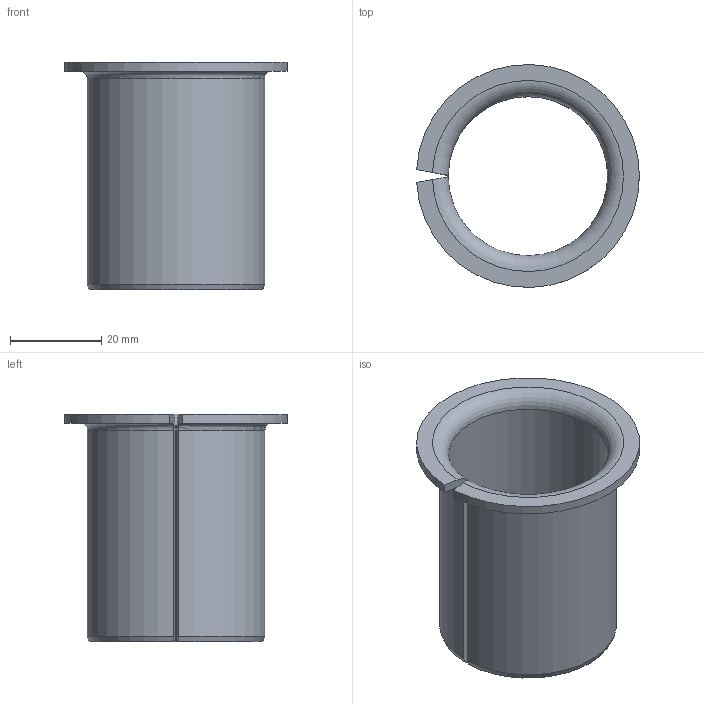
import cadquery as cq
import math

bore_diameter = 35.0
wall = 2.0
flange_diameter = 49.0
length = 50.0
outer_bend_radius = 1.5
chamfer_length = 1.2
chamfer_angle = 20.0
slit_width_at_bore = 0.35
slit_half_angle = 10.0
cut_clearance = 2.0

bore_radius = bore_diameter / 2
tube_radius = bore_radius + wall
flange_radius = flange_diameter / 2
inner_bend_radius = outer_bend_radius + wall
bend_center_radius = tube_radius + outer_bend_radius
bend_center_z = length - inner_bend_radius
flange_bottom_z = length - wall
chamfer_depth = chamfer_length * math.tan(math.radians(chamfer_angle))


def bend_midpoint(bend_radius):
    """Point halfway round a quarter bend, as (radius, Z)."""
    offset = bend_radius * math.sin(math.radians(45))
    return (bend_center_radius - offset, bend_center_z + offset)


def flanged_tube():
    """Revolved wall section with a rolled-over flange; its seam is turned to -X, where the slit removes it."""
    return (
        cq.Workplane("XZ")
        .moveTo(bore_radius, 0)
        .lineTo(tube_radius - chamfer_depth, 0)
        .lineTo(tube_radius, chamfer_length)
        .lineTo(tube_radius, bend_center_z)
        .threePointArc(bend_midpoint(outer_bend_radius), (bend_center_radius, flange_bottom_z))
        .lineTo(flange_radius, flange_bottom_z)
        .lineTo(flange_radius, length)
        .lineTo(bend_center_radius, length)
        .threePointArc(bend_midpoint(inner_bend_radius), (bore_radius, bend_center_z))
        .close()
        .revolve(360, (0, 0, 0), (0, 1, 0))
        .rotate((0, 0, 0), (0, 0, 1), 180)
    )


def slit():
    """Full-height wedge that closes to a point inside the bore and opens outward along -X."""
    half_width_slope = math.tan(math.radians(slit_half_angle))
    apex_radius = bore_radius - slit_width_at_bore / 2 / half_width_slope
    end_radius = flange_radius + cut_clearance
    end_half_width = half_width_slope * (end_radius - apex_radius)
    return (
        cq.Workplane("XY")
        .moveTo(-apex_radius, 0)
        .lineTo(-end_radius, end_half_width)
        .lineTo(-end_radius, -end_half_width)
        .close()
        .extrude(length)
    )


result = flanged_tube().cut(slit())